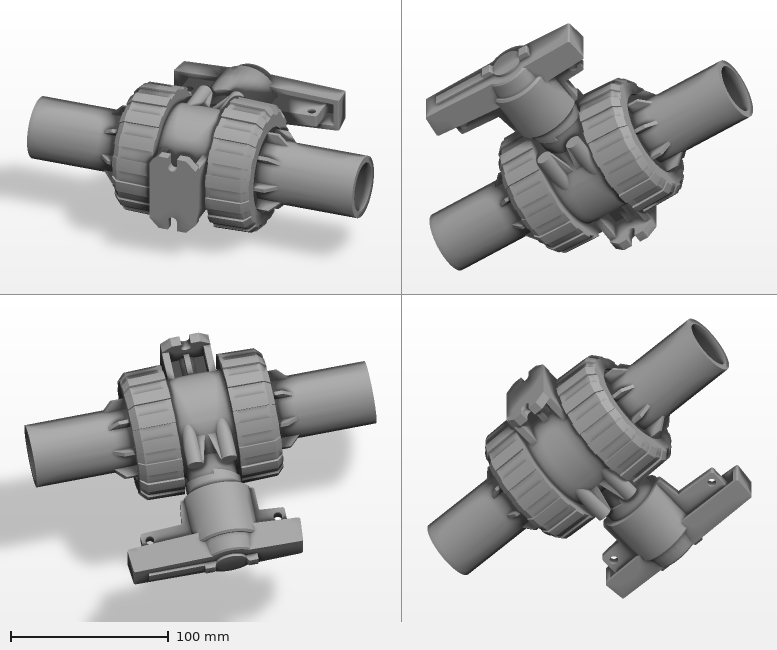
import cadquery as cq
import math

LENGTH = 220.0
BORE_DIA = 32.0
PIPE_DIA = 40.3
BODY_DIA = 64.2

NUT_INNER_X = 18.5
NUT_OUTER_X = 46.2
NUT_CHAMFER = 4.2
NUT_RIM_R = 42.0
NUT_FRONT_R = 41.4
NUT_GROOVE_FRONT_R = 39.8
NUT_GROOVE_RIM_R = 40.5
NUT_OPENING_DIA = 55.7
NUT_RECESS = 1.8
TOOTH_COUNT = 16

RIB_COUNT = 8
RIB_THICKNESS = 2.5
RIB_R = 26.8
RIB_TIP_X = 59.8

FOOT_Y = -51.3
FOOT_PLATE = 6.2
FOOT_WIDTH = 31.2
FOOT_HEIGHT = 52.1
FOOT_CHAMFER = 6.4
FOOT_SLOT_WIDTH = 6.2
FOOT_SLOT_DEPTH = 9.2
WEB_THICKNESS = 4.5
WEB_HEIGHT = 36.3
CROSS_THICKNESS = 3.5
CROSS_HEIGHT = 19.5

PEG_DIA = 10.1
PEG_X = 11.0
PEG_Z = 25.0
PEG_END_Y = 37.6
GUSSET_THICKNESS = 2.2
GUSSET_BASE_Y = 18.5
GUSSET_GAP_BASE = 0.9
GUSSET_GAP_END = 5.7

NECK_DIA = 35.0
NECK_CORE_DIA = 32.0
NECK_TOP_Y = 66.9
RAMP_HIGH_Y = 42.2
RAMP_LOW_Y = 39.0

COLLAR_RIM_DIA = 43.8
COLLAR_TOP_DIA = 43.3
COLLAR_CHAMFER = 1.3
COLLAR_BASE_Y = 50.8
COLLAR_TOP_Y = 85.1
COLLAR_ROOF = 3.3
COLLAR_SLOT = 9.5
CAP_BASE_R = 19.1
CAP_TOP_R = 17.4
CAP_CHAMFER = 1.0
CAP_TOP_Y = 96.0
DISC_DIA = 20.7
DISC_TOP_Y = 97.7

BAR_LEFT_X = -48.2
BAR_RIGHT_X = 64.0
BAR_END_DRAFT = 1.3
BAR_END_Y = 80.0
BAR_MIDDLE_Y = 78.0
BAR_BASE_Y = 76.0
BAR_BASE_HALF = 14.0
BAR_TOP_HALF = 12.0
BAR_END_BASE_HALF = 11.2
BAR_END_TOP_HALF = 9.7
BAR_WALL = 3.3
BAR_END_FILLET = 1.3

KEY_THICKNESS = 7.5
KEY_LEFT_X = -40.3
KEY_RIGHT_X = 53.2
KEY_TAB_Y = 68.2
KEY_NECK_Y = 66.9
KEY_NECK_LEFT_X = -24.2
KEY_NECK_RIGHT_X = 26.0
KEY_BASE_RIGHT_X = 23.8
KEY_CORNER_R = 1.5
KEY_HOLE_DIA = 5.5
KEY_HOLE_INSET = 5.3
KEY_HOLE_Y = 73.7
NUB_TOP_Y = 100.0
NUB_INNER_X = 11.0
NUB_FOOT_X = 9.0
NUB_OUTER_X = 17.2
NUB_FILLET = 0.7

PICK_MARGIN = 0.2


def block(x_size, y_low, y_high, z_size):
    """Box centred in X and Z, between two Y levels."""
    middle = (y_low + y_high) / 2
    return cq.Workplane("XY").box(x_size, y_high - y_low, z_size).translate((0, middle, 0))


def cylinder_y(diameter, y_low, y_high, x=0.0, z=0.0):
    """Cylinder along Y between two levels."""
    plane = cq.Workplane("XZ", origin=(x, y_low, z))
    return plane.circle(diameter / 2).extrude(y_low - y_high)


def slab(points, thickness):
    """Plate of an XY outline, centred on Z = 0."""
    return cq.Workplane("XY").polyline(points).close().extrude(thickness / 2, both=True)


def revolve_x(points):
    """Ring of (x, radius) points about the X axis."""
    return cq.Workplane("XY").polyline(points).close().revolve(360, (0, 0, 0), (1, 0, 0))


def revolve_y(points):
    """Ring of (radius, y) points about the Y axis."""
    return cq.Workplane("XY").polyline(points).close().revolve(360, (0, 0, 0), (0, 1, 0))


def both_ends(shape):
    """Shape together with its mirror image at the other X end."""
    return shape.union(shape.mirror("YZ"))


def nut_blank(front_r, rim_r):
    """Solid of revolution with a chamfered outer end."""
    return revolve_x([
        (NUT_INNER_X, 0),
        (NUT_OUTER_X, 0),
        (NUT_OUTER_X, front_r - NUT_CHAMFER),
        (NUT_OUTER_X - NUT_CHAMFER, front_r),
        (NUT_INNER_X, rim_r),
    ])


def make_nut():
    """Toothed nut at the +X end, with a shallow recess around the pipe."""
    pitch = 360 / TOOTH_COUNT
    half_tooth = math.radians(pitch / 4)
    reach = 2 * NUT_RIM_R
    wedge = (
        cq.Workplane("YZ")
        .polyline([
            (0, 0),
            (reach * math.cos(half_tooth), -reach * math.sin(half_tooth)),
            (reach * math.cos(half_tooth), reach * math.sin(half_tooth)),
        ])
        .close()
        .extrude(LENGTH / 2)
    )
    tooth = nut_blank(NUT_FRONT_R, NUT_RIM_R).intersect(wedge)
    nut = nut_blank(NUT_GROOVE_FRONT_R, NUT_GROOVE_RIM_R)
    for i in range(TOOTH_COUNT):
        nut = nut.union(tooth.rotate((0, 0, 0), (1, 0, 0), (i + 0.5) * pitch))
    recess = (
        cq.Workplane("YZ", origin=(NUT_OUTER_X - NUT_RECESS, 0, 0))
        .circle(NUT_OPENING_DIA / 2)
        .extrude(NUT_RECESS)
    )
    return nut.cut(recess)


def make_pipe_end():
    """Plain pipe with sloped ribs that run into the nut recess."""
    pipe = cq.Workplane("YZ").circle(PIPE_DIA / 2).extrude(LENGTH / 2)
    root_x = NUT_OUTER_X - NUT_RECESS
    rise = RIB_R - PIPE_DIA / 2
    rib = slab(
        [
            (root_x, 0),
            (RIB_TIP_X, 0),
            (RIB_TIP_X, PIPE_DIA / 2),
            (RIB_TIP_X - rise, RIB_R),
            (root_x, RIB_R),
        ],
        RIB_THICKNESS,
    )
    for i in range(RIB_COUNT):
        pipe = pipe.union(rib.rotate((0, 0, 0), (1, 0, 0), i * 360 / RIB_COUNT))
    return pipe


def make_foot():
    """Slotted plate on two webs, with a ribbed post behind it."""
    plate_back = FOOT_Y + FOOT_PLATE
    foot = block(FOOT_WIDTH, FOOT_Y, plate_back, FOOT_HEIGHT).edges("|Y").chamfer(FOOT_CHAMFER)
    slot_end = FOOT_HEIGHT / 2 - FOOT_SLOT_DEPTH + FOOT_SLOT_WIDTH / 2
    for side in (1, -1):
        slot = block(FOOT_SLOT_WIDTH, FOOT_Y, plate_back, FOOT_HEIGHT).translate(
            (0, 0, side * (slot_end + FOOT_HEIGHT / 2))
        )
        foot = foot.cut(slot)
        foot = foot.cut(cylinder_y(FOOT_SLOT_WIDTH, FOOT_Y, plate_back, z=side * slot_end))
        web_x = side * (FOOT_WIDTH - WEB_THICKNESS) / 2
        foot = foot.union(block(WEB_THICKNESS, plate_back, 0, WEB_HEIGHT).translate((web_x, 0, 0)))
    foot = foot.union(block(FOOT_WIDTH, plate_back, 0, CROSS_THICKNESS))
    foot = foot.union(block(CROSS_THICKNESS, plate_back, 0, CROSS_HEIGHT))
    return foot.union(cylinder_y(PEG_DIA, plate_back, 0))


def make_pegs():
    """Two pegs with tapered gussets, above and below the stem."""
    gusset = slab(
        [
            (PEG_X, 0),
            (GUSSET_GAP_BASE, 0),
            (GUSSET_GAP_BASE, GUSSET_BASE_Y),
            (GUSSET_GAP_END, PEG_END_Y),
            (PEG_X, PEG_END_Y),
        ],
        GUSSET_THICKNESS,
    ).translate((0, 0, PEG_Z))
    peg = cylinder_y(PEG_DIA, 0, PEG_END_Y, x=PEG_X, z=PEG_Z).union(gusset)
    pair = both_ends(peg)
    return pair.union(pair.mirror("XY"))


def make_neck():
    """Stem neck whose lower edge has four sloping stop ramps."""
    neck = cylinder_y(NECK_CORE_DIA, 0, NECK_TOP_Y).union(cylinder_y(NECK_DIA, RAMP_HIGH_Y, NECK_TOP_Y))
    radius = NECK_DIA / 2
    ramp = (
        cq.Workplane("XY")
        .polyline([(-radius, RAMP_HIGH_Y), (0, RAMP_HIGH_Y), (0, RAMP_LOW_Y)])
        .close()
        .extrude(radius)
        .intersect(cylinder_y(NECK_DIA, RAMP_LOW_Y, RAMP_HIGH_Y))
    )
    for i in range(4):
        neck = neck.union(ramp.rotate((0, 0, 0), (0, 1, 0), 90 * i))
    return neck


def make_hub():
    """Solid collar, conical cap and top disc."""
    return revolve_y([
        (0, COLLAR_BASE_Y),
        (COLLAR_RIM_DIA / 2, COLLAR_BASE_Y),
        (COLLAR_TOP_DIA / 2, COLLAR_TOP_Y - COLLAR_CHAMFER),
        (COLLAR_TOP_DIA / 2 - COLLAR_CHAMFER, COLLAR_TOP_Y),
        (CAP_BASE_R, COLLAR_TOP_Y),
        (CAP_TOP_R, CAP_TOP_Y - CAP_CHAMFER),
        (CAP_TOP_R - CAP_CHAMFER, CAP_TOP_Y),
        (DISC_DIA / 2, CAP_TOP_Y),
        (DISC_DIA / 2, DISC_TOP_Y),
        (0, DISC_TOP_Y),
    ])


def hub_cavity():
    """Socket under the collar, with a slot along X for the key."""
    roof_y = COLLAR_TOP_Y - COLLAR_ROOF
    slot = block(COLLAR_RIM_DIA, COLLAR_BASE_Y, roof_y, COLLAR_SLOT)
    return cylinder_y(NECK_DIA, COLLAR_BASE_Y, roof_y).union(slot)


def bar_section(top_y, x, base_half, top_half):
    """Closed trapezoid across the bar."""
    corners = [
        (x, BAR_BASE_Y, -base_half),
        (x, top_y, -top_half),
        (x, top_y, top_half),
        (x, BAR_BASE_Y, base_half),
    ]
    return cq.Wire.makePolygon([cq.Vector(*corner) for corner in corners], close=True)


def bar_blank(wall):
    """Trapezoidal bar narrowing to its drafted ends, shrunk by a wall and open below."""
    top_y = CAP_TOP_Y - wall
    outline = slab(
        [
            (BAR_LEFT_X + wall, BAR_END_Y - wall),
            (0, BAR_MIDDLE_Y - wall),
            (BAR_RIGHT_X - wall, BAR_END_Y - wall),
            (BAR_RIGHT_X - BAR_END_DRAFT - wall, top_y),
            (BAR_LEFT_X + BAR_END_DRAFT + wall, top_y),
        ],
        2 * BAR_BASE_HALF,
    )
    middle = (0, BAR_BASE_HALF - wall, BAR_TOP_HALF - wall)
    arms = []
    for end_x in (BAR_LEFT_X, BAR_RIGHT_X):
        end = (end_x, BAR_END_BASE_HALF - wall, BAR_END_TOP_HALF - wall)
        sections = [bar_section(top_y, *middle), bar_section(top_y, *end)]
        arms.append(cq.Solid.makeLoft(sections, True))
    left_arm, right_arm = arms
    return outline.intersect(cq.Workplane(left_arm).union(right_arm))


def make_bar():
    """Hollow handle bar with rounded end edges."""
    bar = bar_blank(0).faces("<X or >X").edges("|Z").fillet(BAR_END_FILLET)
    return bar.cut(bar_blank(BAR_WALL))


def make_key():
    """Flat key: two drilled tabs below the bar, a stepped stem and a raised strip on top."""
    key = slab(
        [
            (KEY_LEFT_X, CAP_TOP_Y - BAR_WALL),
            (KEY_LEFT_X, KEY_TAB_Y),
            (KEY_NECK_LEFT_X, KEY_NECK_Y),
            (KEY_NECK_LEFT_X, COLLAR_BASE_Y),
            (KEY_BASE_RIGHT_X, COLLAR_BASE_Y),
            (KEY_NECK_RIGHT_X, KEY_NECK_Y),
            (KEY_RIGHT_X, KEY_TAB_Y),
            (KEY_RIGHT_X, DISC_TOP_Y),
            (0, DISC_TOP_Y),
            (0, CAP_TOP_Y - BAR_WALL),
        ],
        KEY_THICKNESS,
    )
    tab_corners = cq.selectors.BoxSelector(
        (KEY_LEFT_X - PICK_MARGIN, KEY_TAB_Y - PICK_MARGIN, -KEY_THICKNESS),
        (KEY_RIGHT_X + PICK_MARGIN, KEY_TAB_Y + PICK_MARGIN, KEY_THICKNESS),
    )
    key = key.edges("|Z").edges(tab_corners).fillet(KEY_CORNER_R)
    key = key.faces("<Y").edges("|Z").fillet(KEY_CORNER_R)
    holes = (
        cq.Workplane("XY")
        .pushPoints([
            (KEY_LEFT_X + KEY_HOLE_INSET, KEY_HOLE_Y),
            (KEY_RIGHT_X - KEY_HOLE_INSET, KEY_HOLE_Y),
        ])
        .circle(KEY_HOLE_DIA / 2)
        .extrude(KEY_THICKNESS, both=True)
    )
    nub = slab(
        [
            (NUB_OUTER_X, CAP_TOP_Y - BAR_WALL),
            (NUB_OUTER_X, NUB_TOP_Y),
            (NUB_INNER_X, NUB_TOP_Y),
            (NUB_FOOT_X, CAP_TOP_Y),
            (NUB_FOOT_X, CAP_TOP_Y - BAR_WALL),
        ],
        KEY_THICKNESS,
    )
    nub = nub.faces(">Y").edges("|Z").fillet(NUB_FILLET)
    return key.cut(holes).union(both_ends(nub))


body = cq.Workplane("YZ").circle(BODY_DIA / 2).extrude(NUT_INNER_X, both=True)
body = body.union(make_foot()).union(make_pegs()).union(make_neck())
body = body.union(both_ends(make_nut())).union(both_ends(make_pipe_end()))
bore = cq.Workplane("YZ").circle(BORE_DIA / 2).extrude(LENGTH / 2, both=True)
body = body.cut(bore)

handle = make_bar().union(make_hub()).cut(hub_cavity()).union(make_key())

result = body.union(handle)